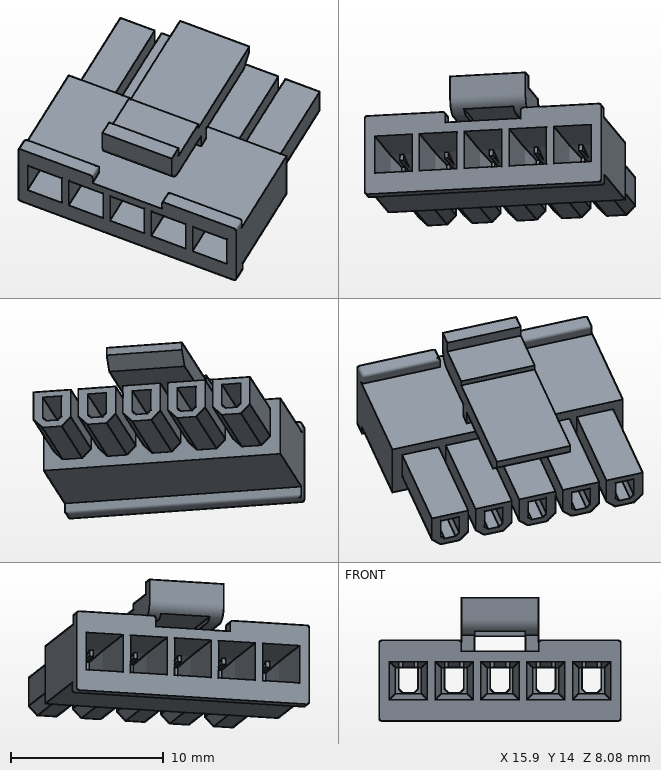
import cadquery as cq

overlap = 0.01

circuits = 5
pitch = 3.0
positions = [(i - (circuits - 1) / 2) * pitch for i in range(circuits)]

width = 15.85
total_length = 14.0
block_length = 7.6
flange_height = 5.3
flange_thickness = 1.0
flange_overhang = 0.72
edge_radius = 0.2
axis_z = flange_height / 2
block_top = flange_height - flange_overhang

finger_size = 2.5
finger_chamfer = 0.6

pocket_depth = 5.0
funnel_inset = 0.4
funnel_length = 1.75
passage_width = 1.25
passage_height = 1.65
passage_chamfer = 0.25
rib_width = 0.25
inner_size = finger_size - 2 * funnel_inset

latch_width = 5.05
latch_front = 1.5
latch_rear = 13.2
latch_bottom = 5.62
latch_rear_bottom = 5.55
latch_rear_top = 6.92
latch_step_y = 5.5
latch_step_top = 7.29
thumb_lip_rear = 2.5
latch_top = 8.08
latch_radius = 1.0
latch_tip_chamfer = 0.85
leg_front = 5.9
leg_rear = 6.7
leg_width = 0.87
relief_depth = 0.28
leg_gap = latch_width - 2 * leg_width


def box(x_center, size_x, y0, y1, z0, z1):
    """Box centred on x_center, between the given Y and Z limits."""
    return cq.Workplane("XY").box(size_x, y1 - y0, z1 - z0, centered=(True, False, False)).translate(
        (x_center, y0, z0)
    )


def make_flange():
    """Mating flange with rounded outer edges and two raised ears beside the latch."""
    base = box(0, width, 0, flange_thickness, 0, block_top)
    flange = base.faces("<Z").edges("not <Y").fillet(edge_radius)

    ear_size = (width - latch_width) / 2
    ear_center = (width + latch_width) / 4
    for side, outer_face in ((-1, "<X"), (1, ">X")):
        ear = box(side * ear_center, ear_size, 0, flange_thickness, block_top, flange_height)
        ear = ear.edges(f"|Z and >Y and {outer_face}").fillet(edge_radius)
        ear = ear.faces(">Z").edges("not <Y").fillet(edge_radius)
        flange = flange.union(ear)
    return flange


def make_finger(x):
    """Rear finger with its two lower edges chamfered."""
    z0 = axis_z - finger_size / 2
    finger = box(x, finger_size, block_length - overlap, total_length, z0, z0 + finger_size)
    return finger.edges("|Y and <Z").chamfer(finger_chamfer)


def make_cavity(x):
    """Space removed for one contact, with two ribs left at the top of the funnel."""
    half = finger_size / 2
    funnel_end = pocket_depth + funnel_length
    pocket = box(x, finger_size, -overlap, pocket_depth, axis_z - half, axis_z + half)
    funnel = (
        cq.Workplane("XZ", origin=(x, pocket_depth, axis_z))
        .rect(finger_size, finger_size)
        .workplane(offset=-funnel_length)
        .rect(inner_size, inner_size)
        .loft(ruled=True)
    )
    passage_top = axis_z + inner_size / 2
    passage_bottom = passage_top - passage_height
    passage_front = funnel_end - overlap
    passage_rear = total_length + overlap
    passage = box(x, passage_width, passage_front, passage_rear, passage_bottom, passage_top)
    passage = passage.edges("|Y and <Z").chamfer(passage_chamfer)
    for side in (-1, 1):
        rib_x = x + side * (passage_width - rib_width) / 2
        funnel = funnel.cut(box(rib_x, rib_width, pocket_depth, funnel_end, passage_top, axis_z + half))
    return pocket.union(funnel).union(passage)


def make_latch():
    """Latch lever with thumb lip, relieved underside and two legs."""
    lever = (
        cq.Workplane("YZ", origin=(-latch_width / 2, 0, 0))
        .moveTo(latch_front, latch_top)
        .lineTo(thumb_lip_rear, latch_top)
        .lineTo(thumb_lip_rear, latch_step_top)
        .lineTo(latch_step_y, latch_step_top)
        .lineTo(latch_step_y, latch_rear_top)
        .lineTo(latch_rear, latch_rear_top)
        .lineTo(latch_rear, latch_rear_bottom + latch_tip_chamfer)
        .lineTo(latch_rear - latch_tip_chamfer, latch_rear_bottom)
        .lineTo(leg_front, latch_rear_bottom)
        .lineTo(leg_front, latch_bottom)
        .lineTo(latch_front + latch_radius, latch_bottom)
        .radiusArc((latch_front, latch_bottom + latch_radius), latch_radius)
        .close()
        .extrude(latch_width)
    )
    relief_top = latch_bottom + relief_depth
    latch = lever.cut(box(0, leg_gap, latch_front - overlap, leg_front, latch_bottom - overlap, relief_top))
    for side in (-1, 1):
        leg_x = side * (latch_width - leg_width) / 2
        latch = latch.union(box(leg_x, leg_width, leg_front, leg_rear, block_top - overlap, latch_bottom))
    return latch


result = box(0, width, 0, block_length, flange_overhang, block_top)
result = result.union(make_flange())
for x in positions:
    result = result.union(make_finger(x))
result = result.union(make_latch())
for x in positions:
    result = result.cut(make_cavity(x))
result = result.clean()